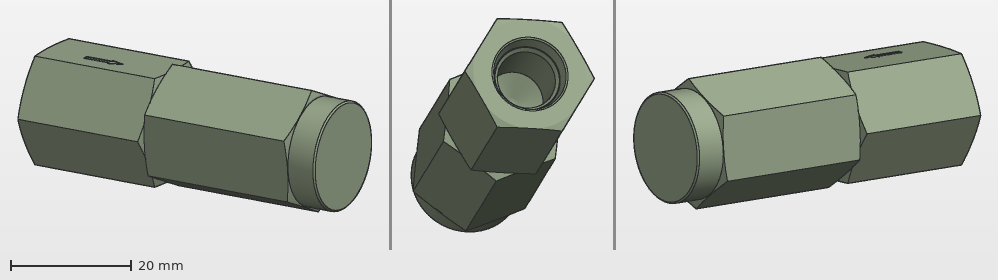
import cadquery as cq
import math

total_length = 57.15
joint_x = 24.1
housing_hex_end_x = 52.0

across_corners = 22.0
across_flats = across_corners * math.cos(math.pi / 6)
corner_up_twist = 90.0
housing_twist = 5.6

corner_trim_length = 0.4
trim_diameter = 19.2

collar_diameter = 18.75
collar_chamfer = 0.3

mouth_diameter = 12.9
mouth_depth = 0.2
seat_diameter = 12.3
seat_end_diameter = 11.2
seat_end_depth = 2.5
lead_in_diameter = 10.9
lead_in_length = 0.75
bore_diameter = 9.85
bore_depth = 14.3
drill_point_angle = 118.0

arrow_start_x = 7.9
arrow_neck_x = 12.75
arrow_tip_x = 15.2
arrow_y = -1.6
arrow_shaft_half_width = 0.45
arrow_head_half_width = 0.85
arrow_depth = 0.1


def revolve_about_x(points):
    """Solid of revolution about X from (x, radius) points."""
    return cq.Workplane("XY").polyline(points).close().revolve(360, (0, 0, 0), (1, 0, 0))


def trimmed_hexagon(start_x, end_x, twist):
    """Hexagonal bar along X with its corners trimmed by a cone at both ends.

    At zero twist two corners lie on the Y axis.
    """
    bar = (
        cq.Workplane("YZ", origin=(start_x, 0, 0))
        .polygon(6, across_corners)
        .extrude(end_x - start_x)
        .rotate((0, 0, 0), (1, 0, 0), twist)
    )
    end_radius = trim_diameter / 2
    corner_radius = across_corners / 2
    envelope = revolve_about_x([
        (start_x, 0),
        (start_x, end_radius),
        (start_x + corner_trim_length, corner_radius),
        (end_x - corner_trim_length, corner_radius),
        (end_x, end_radius),
        (end_x, 0),
    ])
    return bar.intersect(envelope)


def inlet_port():
    """Space of the inlet port: mouth chamfer, sealing cone, lead-in, bore and drill point."""
    point_length = bore_diameter / 2 / math.tan(math.radians(drill_point_angle / 2))
    return revolve_about_x([
        (0, 0),
        (0, mouth_diameter / 2),
        (mouth_depth, seat_diameter / 2),
        (seat_end_depth, seat_end_diameter / 2),
        (seat_end_depth, lead_in_diameter / 2),
        (seat_end_depth + lead_in_length, bore_diameter / 2),
        (bore_depth, bore_diameter / 2),
        (bore_depth + point_length, 0),
    ])


def flow_arrow():
    """Space of the arrow, which points along +X."""
    return (
        cq.Workplane("XY", origin=(0, arrow_y, across_flats / 2 - arrow_depth))
        .polyline([
            (arrow_start_x, -arrow_shaft_half_width),
            (arrow_neck_x, -arrow_shaft_half_width),
            (arrow_neck_x, -arrow_head_half_width),
            (arrow_tip_x, 0),
            (arrow_neck_x, arrow_head_half_width),
            (arrow_neck_x, arrow_shaft_half_width),
            (arrow_start_x, arrow_shaft_half_width),
        ])
        .close()
        .extrude(arrow_depth)
    )


def make_inlet_fitting():
    return trimmed_hexagon(0, joint_x, 0).cut(inlet_port()).cut(flow_arrow())


def make_housing():
    collar = (
        cq.Workplane("YZ", origin=(housing_hex_end_x, 0, 0))
        .circle(collar_diameter / 2)
        .extrude(total_length - housing_hex_end_x)
        .faces(">X")
        .chamfer(collar_chamfer)
    )
    hexagon = trimmed_hexagon(joint_x, housing_hex_end_x, corner_up_twist + housing_twist)
    return hexagon.union(collar)


inlet_fitting = make_inlet_fitting()
housing = make_housing()

result = cq.Compound.makeCompound([inlet_fitting.val(), housing.val()])